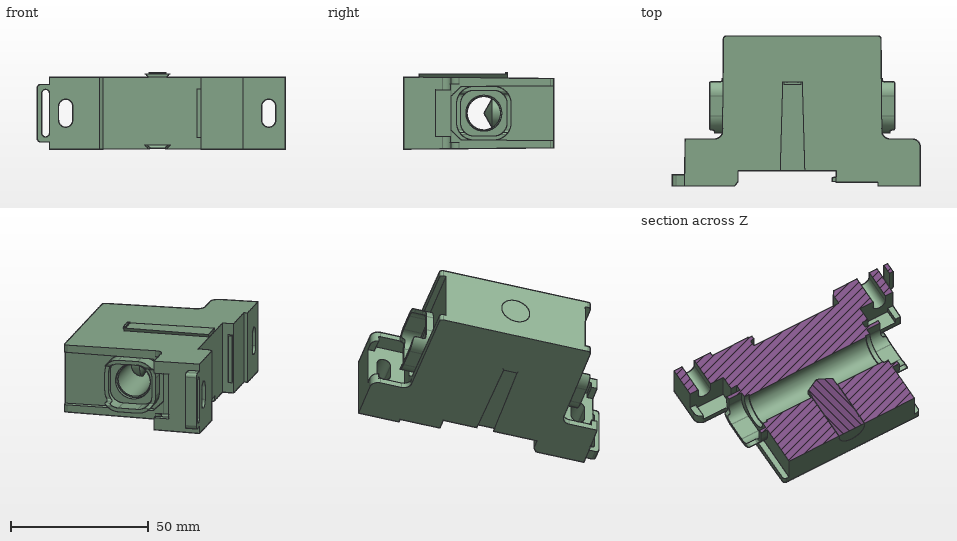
import cadquery as cq
import math

LENGTH = 90.1
HEIGHT = 54.5
WIDTH = 26.2
MID_Z = WIDTH / 2
DRAFT_ANGLE = 0.5

BLOCK_LEFT = 18.3
BLOCK_RIGHT = 76.2
BLOCK_MID_X = (BLOCK_LEFT + BLOCK_RIGHT) / 2
BLOCK_LEAN = 0.3
BLOCK_CORNER_RADIUS = 1.2
FOOT_LEFT = 4.4
FOOT_HEIGHT = 17.1
FOOT_RADIUS = 3.0

SEAT_LEFT = 24.0
SEAT_RIGHT = 59.6
SEAT_HEIGHT = 5.5
SEAT_CHAMFER_X = 1.3
SEAT_CHAMFER_Y = 1.6
SHELF_RIGHT = 74.7
SHELF_HEIGHT = 1.35
LIP_BOTTOM = 1.6
LIP_REACH = 1.4
LIP_FLAT_TOP = 3.0
LIP_ROOT_TOP = 3.4
LIP_WIDTH = 17.7

TAB_HEIGHT = 4.15
TAB_WIDTH = 21.0
TAB_RADIUS = 1.35
TAB_SLOT_WIDTH = 2.7
TAB_SLOT_LENGTH = 17.2

MOUNT_SLOT_X = (10.4, 84.1)
MOUNT_SLOT_WIDTH = 5.05
MOUNT_SLOT_LENGTH = 10.1
POCKET_FLOOR = 11.6
POCKET_WALL = 2.4
NOTCH_WIDTH = 16.9

RECESS_DEPTH = 2.4
RECESS_WIDTH_TOP = 19.8
RECESS_WIDTH = 19.5
RECESS_WIDTH_BOTTOM = 12.2
RECESS_TAPER_HEIGHT = 3.8

BORE_Y = 29.1
COLLAR_REACH = 4.7
COLLAR_LENGTH_Y = 19.8
COLLAR_WIDTH_Z = RECESS_WIDTH
COLLAR_WALL = 1.4
COLLAR_RADIUS = 6.3
COLLAR_GAP_WIDTH = 14.0
COLLAR_GAP_RADIUS = 0.8
LOWER_GAP_DEPTH = 1.7
UPPER_GAP_DEPTH = 4.5

BORE_DIAMETER = 12.1
COUNTERBORE_DIAMETER = 13.1
COUNTERBORE_DEPTH = 1.9

KEY_MID_X = 43.7
KEY_END_Y = 37.8
KEY_BASE_WIDTH = 8.9
KEY_END_WIDTH = 7.1
KEY_TOP_Z = 27.4
STOP_TOP_Z = 27.85
STOP_LENGTH = 0.8
STOP_WIDTH = 6.1
KEY_SETBACK = 0.1
GROOVE_DEPTH = 1.6
GROOVE_CLEARANCE = 0.5

SCREW_DIAMETER = 10.6
SCREW_TIP_Y = BORE_Y
SCREW_CONE_LENGTH = 3.0


def slot_along_z(x, width, length, y_bottom, y_top):
    """Obround prism running along Y, its long side along Z."""
    return (
        cq.Workplane("XZ", origin=(x, y_bottom, MID_Z))
        .slot2D(length, width, 90)
        .extrude(y_bottom - y_top)
    )


def box_between(x0, x1, y0, y1, z0, z1):
    return cq.Workplane("XY").box(x1 - x0, y1 - y0, z1 - z0, centered=False).translate((x0, y0, z0))


def mirror_to_right(left_shape):
    """Copy of a left-end shape on the right end of the upper block."""
    return left_shape.mirror("YZ", (BLOCK_MID_X, 0, 0))


def block_with_feet():
    outline = [
        (FOOT_LEFT, 0),
        (SEAT_LEFT - SEAT_CHAMFER_X, 0),
        (SEAT_LEFT, SEAT_CHAMFER_Y),
        (SEAT_LEFT, SEAT_HEIGHT),
        (SEAT_RIGHT, SEAT_HEIGHT),
        (SEAT_RIGHT, SHELF_HEIGHT),
        (SHELF_RIGHT, SHELF_HEIGHT),
        (SHELF_RIGHT, 0),
        (LENGTH, 0),
        (LENGTH, FOOT_HEIGHT),
        (BLOCK_RIGHT, FOOT_HEIGHT),
        (BLOCK_RIGHT - BLOCK_LEAN, HEIGHT),
        (BLOCK_LEFT + BLOCK_LEAN, HEIGHT),
        (BLOCK_LEFT, FOOT_HEIGHT),
        (FOOT_LEFT + BLOCK_LEAN, FOOT_HEIGHT),
    ]
    block = cq.Workplane("XY").polyline(outline).close().extrude(WIDTH)
    rounded_foot_edges = [
        (BLOCK_LEFT, FOOT_HEIGHT, MID_Z),
        (BLOCK_RIGHT, FOOT_HEIGHT, MID_Z),
        (LENGTH, FOOT_HEIGHT, MID_Z),
    ]
    for corner in rounded_foot_edges:
        block = block.edges(cq.selectors.NearestToPointSelector(corner)).fillet(FOOT_RADIUS)
    return block.edges("|Z and >Y").fillet(BLOCK_CORNER_RADIUS)


def side_draft():
    """Wedges that taper both broad sides toward the top of the block."""
    taper = HEIGHT * math.tan(math.radians(DRAFT_ANGLE))
    wedge = cq.Workplane("YZ").polyline([(0, 0), (HEIGHT, 0), (HEIGHT, taper)]).close().extrude(LENGTH)
    return wedge.union(wedge.mirror("XY", (0, 0, MID_Z)))


def rail_lip():
    outline = [
        (SEAT_RIGHT, LIP_BOTTOM),
        (SEAT_RIGHT - LIP_REACH, LIP_BOTTOM),
        (SEAT_RIGHT - LIP_REACH, LIP_FLAT_TOP),
        (SEAT_RIGHT, LIP_ROOT_TOP),
    ]
    lip = cq.Workplane("XY", origin=(0, 0, MID_Z)).polyline(outline).close()
    return lip.extrude(LIP_WIDTH / 2, both=True)


def pull_tab():
    tab = box_between(
        0, FOOT_LEFT + BLOCK_LEAN, 0, TAB_HEIGHT, MID_Z - TAB_WIDTH / 2, MID_Z + TAB_WIDTH / 2
    )
    tab = tab.edges("|Y and <X").fillet(TAB_RADIUS)
    slot_x = FOOT_LEFT - TAB_SLOT_WIDTH / 2
    return tab.cut(slot_along_z(slot_x, TAB_SLOT_WIDTH, TAB_SLOT_LENGTH, 0, TAB_HEIGHT))


def screw_head_pocket(foot_end, block_end):
    """Pocket open toward +Y in a foot, with a notch through the foot's end wall.

    It rises along the leaning block wall to clear the fillet between the side flanges.
    """
    inward = math.copysign(1, block_end - foot_end)
    wall_inside = foot_end + inward * POCKET_WALL
    rise = 2 * FOOT_RADIUS
    top_x = block_end + inward * BLOCK_LEAN * rise / (HEIGHT - FOOT_HEIGHT)
    pocket_outline = [
        (wall_inside, POCKET_FLOOR),
        (block_end, POCKET_FLOOR),
        (block_end, FOOT_HEIGHT),
        (top_x, FOOT_HEIGHT + rise),
        (wall_inside, FOOT_HEIGHT + rise),
    ]
    notch_outline = [
        (foot_end, POCKET_FLOOR),
        (block_end, POCKET_FLOOR),
        (block_end, FOOT_HEIGHT),
        (foot_end, FOOT_HEIGHT),
    ]
    middle = cq.Workplane("XY", origin=(0, 0, MID_Z))
    pocket = middle.polyline(pocket_outline).close().extrude(WIDTH / 2 - POCKET_WALL, both=True)
    notch = middle.polyline(notch_outline).close().extrude(NOTCH_WIDTH / 2, both=True)
    return pocket.union(notch)


def end_recess():
    """Recess in the left end of the upper block, narrowing just above the foot."""
    taper_top = FOOT_HEIGHT + RECESS_TAPER_HEIGHT
    outline = [
        (FOOT_HEIGHT, -RECESS_WIDTH_BOTTOM / 2),
        (taper_top, -RECESS_WIDTH / 2),
        (HEIGHT, -RECESS_WIDTH_TOP / 2),
        (HEIGHT, RECESS_WIDTH_TOP / 2),
        (taper_top, RECESS_WIDTH / 2),
        (FOOT_HEIGHT, RECESS_WIDTH_BOTTOM / 2),
    ]
    recess = cq.Workplane("YZ", origin=(BLOCK_LEFT, 0, MID_Z)).polyline(outline).close()
    return recess.extrude(RECESS_DEPTH)


def rounded_bar(x_start, x_end, size_y, size_z, radius):
    bar = cq.Workplane("YZ", origin=(x_start, BORE_Y, MID_Z)).rect(size_y, size_z).extrude(x_end - x_start)
    return bar.edges("|X").fillet(radius)


def collar_gap(depth):
    """Gap through one wall of the left collar, with a rounded mouth and rounded inner corners."""
    mouth_x = BLOCK_LEFT - COLLAR_REACH
    end_x = mouth_x + depth
    radius = COLLAR_GAP_RADIUS
    half = COLLAR_GAP_WIDTH / 2
    profile = (
        cq.Workplane("XZ", origin=(0, 0, MID_Z))
        .moveTo(mouth_x, half + radius)
        .radiusArc((mouth_x + radius, half), -radius)
        .lineTo(end_x - radius, half)
        .radiusArc((end_x, half - radius), radius)
        .lineTo(end_x, radius - half)
        .radiusArc((end_x - radius, -half), radius)
        .lineTo(mouth_x + radius, -half)
        .radiusArc((mouth_x, -half - radius), -radius)
        .close()
    )
    return profile.extrude(-COLLAR_LENGTH_Y / 2)


def wire_collar():
    """Collar on the left end; its walls toward -Y and +Y are cut back."""
    collar_end = BLOCK_LEFT - COLLAR_REACH
    collar = rounded_bar(
        collar_end, BLOCK_LEFT + RECESS_DEPTH, COLLAR_LENGTH_Y, COLLAR_WIDTH_Z, COLLAR_RADIUS
    )
    half_length = COLLAR_LENGTH_Y / 2
    lower_gap = collar_gap(LOWER_GAP_DEPTH).translate((0, BORE_Y - half_length, 0))
    upper_gap = collar_gap(UPPER_GAP_DEPTH).translate((0, BORE_Y, 0))
    return collar.cut(lower_gap).cut(upper_gap)


def collar_pocket():
    return rounded_bar(
        BLOCK_LEFT - COLLAR_REACH,
        BLOCK_LEFT + RECESS_DEPTH,
        COLLAR_LENGTH_Y - 2 * COLLAR_WALL,
        COLLAR_WIDTH_Z - 2 * COLLAR_WALL,
        COLLAR_RADIUS - COLLAR_WALL,
    )


def wire_bore():
    """Half of the counterbored wire bore, from the left recess floor to the middle of the block."""
    floor_x = BLOCK_LEFT + RECESS_DEPTH
    mouth = cq.Workplane("YZ", origin=(floor_x, BORE_Y, MID_Z))
    bore = mouth.circle(BORE_DIAMETER / 2).extrude(BLOCK_MID_X - floor_x)
    return bore.union(mouth.circle(COUNTERBORE_DIAMETER / 2).extrude(COUNTERBORE_DEPTH))


def tapered_dovetail(seat_width, end_width, start_y, root_end_y, root_z, top_z):
    """Dovetail along Y with 45 degree flanks: widths are at its top, which tapers toward +Y."""
    rise = top_z - root_z

    def outline(shrink, end_y):
        seat_half = seat_width / 2 - shrink
        end_half = end_width / 2 - shrink
        return [
            (-seat_half, start_y), (seat_half, start_y), (end_half, end_y), (-end_half, end_y)
        ]

    lower = cq.Workplane("XY", origin=(KEY_MID_X, 0, root_z)).polyline(outline(rise, root_end_y)).close()
    upper = lower.workplane(offset=rise).polyline(outline(0, KEY_END_Y)).close()
    return upper.loft(ruled=True)


def dovetail_key():
    root_z = KEY_TOP_Z - GROOVE_DEPTH
    start_y = SEAT_HEIGHT + KEY_SETBACK
    key = tapered_dovetail(KEY_BASE_WIDTH, KEY_END_WIDTH, start_y, KEY_END_Y, root_z, KEY_TOP_Z)
    stop = box_between(
        KEY_MID_X - STOP_WIDTH / 2, KEY_MID_X + STOP_WIDTH / 2,
        KEY_END_Y - STOP_LENGTH, KEY_END_Y, KEY_TOP_Z, STOP_TOP_Z,
    )
    return key.union(stop)


def dovetail_groove():
    return tapered_dovetail(
        KEY_BASE_WIDTH + GROOVE_CLEARANCE, KEY_END_WIDTH + GROOVE_CLEARANCE,
        SEAT_HEIGHT, KEY_END_Y - GROOVE_DEPTH, 0, GROOVE_DEPTH,
    )


def clamping_screw():
    """Screw along Y with a conical tip at the bore axis, flush with the top of the block."""
    radius = SCREW_DIAMETER / 2
    outline = [
        (0, SCREW_TIP_Y),
        (radius, SCREW_TIP_Y + SCREW_CONE_LENGTH),
        (radius, HEIGHT),
        (0, HEIGHT),
    ]
    profile = cq.Workplane("XY").polyline(outline).close()
    return profile.revolve(360, (0, 0, 0), (0, 1, 0)).translate((BLOCK_MID_X, 0, MID_Z))


def make_housing(screw):
    housing = block_with_feet().cut(side_draft()).union(rail_lip()).union(pull_tab())
    housing = housing.cut(screw_head_pocket(FOOT_LEFT, BLOCK_LEFT))
    housing = housing.cut(screw_head_pocket(LENGTH, BLOCK_RIGHT))
    for x in MOUNT_SLOT_X:
        housing = housing.cut(slot_along_z(x, MOUNT_SLOT_WIDTH, MOUNT_SLOT_LENGTH, 0, POCKET_FLOOR))

    housing = housing.cut(end_recess()).cut(mirror_to_right(end_recess()))
    housing = housing.union(wire_collar()).union(mirror_to_right(wire_collar()))
    for cavity in (collar_pocket(), wire_bore()):
        housing = housing.cut(cavity).cut(mirror_to_right(cavity))

    housing = housing.union(dovetail_key()).cut(dovetail_groove())
    return housing.cut(screw)


screw = clamping_screw()
housing = make_housing(screw)
result = cq.Compound.makeCompound([housing.val(), screw.val()])